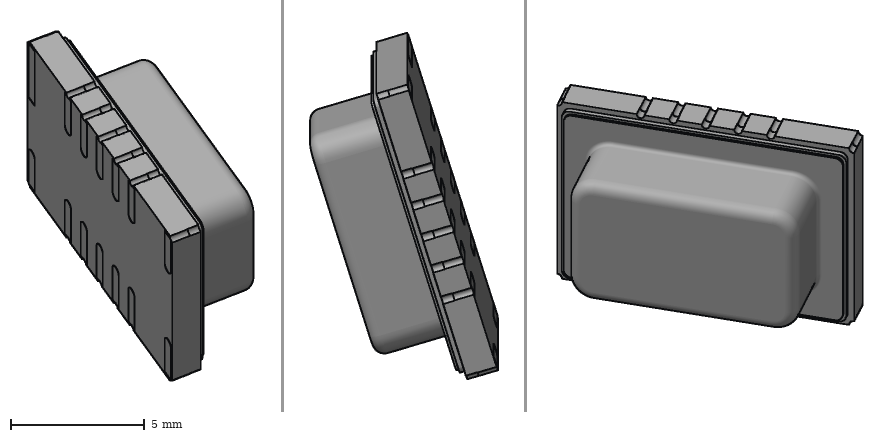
import cadquery as cq


BASE_LENGTH = 11.6
BASE_HEIGHT = 8.0
TOTAL_DEPTH = 4.36

PAD_THICKNESS = 0.01
BASE_THICKNESS = 1.21
RING_THICKNESS = 0.21
FLANGE_THICKNESS = 0.1
DOME_DEPTH = TOTAL_DEPTH - PAD_THICKNESS - BASE_THICKNESS - RING_THICKNESS - FLANGE_THICKNESS

PAD_WIDTH = 0.5
PAD_LENGTH = 2.03
PIN_ONE_PAD_LENGTH = 3.02
PAD_INSET = 0.1
INNER_PAD_COUNT = 5
INNER_PAD_SPAN = 5.08
PAD_PITCH = INNER_PAD_SPAN / (INNER_PAD_COUNT - 1)
PAD_OUTER_Z = BASE_HEIGHT / 2 - PAD_INSET
CORNER_PAD_X = BASE_LENGTH / 2 - PAD_INSET - PAD_WIDTH / 2
INNER_PAD_XS = [i * PAD_PITCH - INNER_PAD_SPAN / 2 for i in range(INNER_PAD_COUNT)]

WIDE_GROOVE_DEPTH = 0.45
EDGE_GROOVE_RADIUS = 0.14
CORNER_GROOVE_RADIUS = 0.19
GROOVE_WIDENING = 0.01

RING_LENGTH = 11.1
RING_HEIGHT = 7.54
RING_CORNER_RADIUS = 0.3

FLANGE_STEP = 0.1
FLANGE_LENGTH = RING_LENGTH - 2 * FLANGE_STEP
FLANGE_HEIGHT = RING_HEIGHT - 2 * FLANGE_STEP
FLANGE_CORNER_RADIUS = 0.3
DOME_LENGTH = 8.91
DOME_HEIGHT = 5.3
DOME_CORNER_RADIUS = 0.95
DOME_TOP_FILLET = 0.45
DOME_FOOT_FILLET = 0.16


def xz_plane(y):
    """Workplane at height y whose local axes are X and Z; positive extrusion goes toward -Y."""
    return cq.Workplane("XZ", origin=(0, y, 0))


def plate(length, height, y, thickness):
    """Rectangular plate from y to y + thickness."""
    return xz_plane(y).rect(length, height).extrude(-thickness)


def square_pad(x, side, length):
    """Rectangular pad beside the +Z (side = 1) or -Z (side = -1) edge."""
    center_z = side * (PAD_OUTER_Z - length / 2)
    return xz_plane(0).center(x, center_z).rect(PAD_WIDTH, length).extrude(PAD_THICKNESS)


def rounded_pad(x, side):
    """Pad whose inner end is a half circle."""
    straight_length = PAD_LENGTH - PAD_WIDTH / 2
    arc_center_z = side * (PAD_OUTER_Z - straight_length)
    round_end = xz_plane(0).center(x, arc_center_z).circle(PAD_WIDTH / 2).extrude(PAD_THICKNESS)
    return square_pad(x, side, straight_length).union(round_end)


def groove(x, z, radius):
    """Two-step cylindrical cutter along Y that runs through the pads and the base."""
    step_y = BASE_THICKNESS - WIDE_GROOVE_DEPTH
    narrow = xz_plane(-PAD_THICKNESS).center(x, z).circle(radius).extrude(-(step_y + PAD_THICKNESS))
    wide = xz_plane(step_y).center(x, z).circle(radius + GROOVE_WIDENING).extrude(-WIDE_GROOVE_DEPTH)
    return narrow.union(wide)


def make_base():
    base = plate(BASE_LENGTH, BASE_HEIGHT, 0, BASE_THICKNESS)

    for side in (-1, 1):
        for x in [-CORNER_PAD_X, *INNER_PAD_XS, CORNER_PAD_X]:
            if side > 0 and x == -CORNER_PAD_X:
                pad = square_pad(x, side, PIN_ONE_PAD_LENGTH)
            else:
                pad = rounded_pad(x, side)
            base = base.union(pad)

    for z in (-BASE_HEIGHT / 2, BASE_HEIGHT / 2):
        for x in INNER_PAD_XS:
            base = base.cut(groove(x, z, EDGE_GROOVE_RADIUS))
        for x in (-BASE_LENGTH / 2, BASE_LENGTH / 2):
            base = base.cut(groove(x, z, CORNER_GROOVE_RADIUS))
    return base


def make_seal_ring():
    ring = plate(RING_LENGTH, RING_HEIGHT, BASE_THICKNESS, RING_THICKNESS)
    return ring.edges("|Y").fillet(RING_CORNER_RADIUS)


def make_lid():
    flange_y = BASE_THICKNESS + RING_THICKNESS
    dome_y = flange_y + FLANGE_THICKNESS
    flange = plate(FLANGE_LENGTH, FLANGE_HEIGHT, flange_y, FLANGE_THICKNESS)
    flange = flange.edges("|Y").fillet(FLANGE_CORNER_RADIUS)

    dome = plate(DOME_LENGTH, DOME_HEIGHT, dome_y, DOME_DEPTH)
    dome = dome.edges("|Y").fillet(DOME_CORNER_RADIUS)
    dome = dome.faces(">Y").edges().fillet(DOME_TOP_FILLET)

    margin = DOME_FOOT_FILLET
    foot_region = cq.selectors.BoxSelector(
        (-DOME_LENGTH / 2 - margin, dome_y - FLANGE_THICKNESS / 2, -DOME_HEIGHT / 2 - margin),
        (DOME_LENGTH / 2 + margin, dome_y + FLANGE_THICKNESS / 2, DOME_HEIGHT / 2 + margin),
    )
    return flange.union(dome).edges(foot_region).fillet(DOME_FOOT_FILLET)


base = make_base()
seal_ring = make_seal_ring()
lid = make_lid()

result = cq.Compound.makeCompound([*base.solids().vals(), *seal_ring.solids().vals(), *lid.solids().vals()])